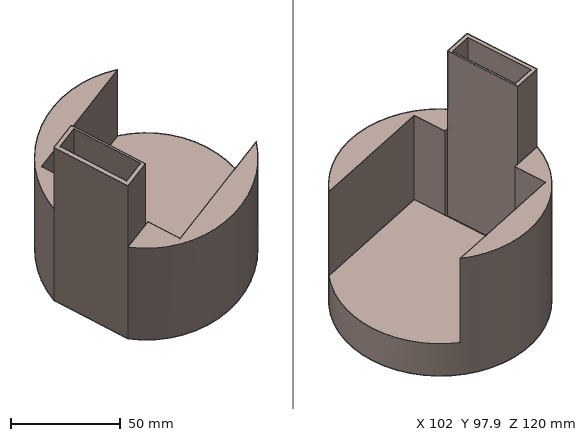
import cadquery as cq
import math

body_radius = 51.0
body_height = 72.0

pocket_width = 75.0
floor_thickness = 20.0
pocket_front_y = -30.0

tower_width = 40.1
tower_depth = 14.8
tower_height = 120.0
side_wall = 2.0
front_wall = 2.0
rear_wall = 1.0

slot_floor_height = 18.0

flat_y = -math.sqrt(body_radius**2 - (tower_width / 2) ** 2)
tower_rear_y = flat_y + tower_depth


def box_between(width, y_front, y_rear, z_bottom, z_top):
    """Box centred on X = 0 that fills the given Y and Z ranges."""
    return cq.Workplane("XY").box(
        width, y_rear - y_front, z_top - z_bottom, centered=(True, False, False)
    ).translate((0, y_front, z_bottom))


def make_body():
    """Cylinder cut flat at the front and opened by the pocket."""
    cylinder = cq.Workplane("XY").circle(body_radius).extrude(body_height)
    in_front_of_flat = box_between(2 * body_radius, -body_radius, flat_y, 0, body_height)
    pocket = box_between(pocket_width, pocket_front_y, body_radius, floor_thickness, body_height)
    return cylinder.cut(in_front_of_flat).cut(pocket)


def make_slot():
    """Gap behind the tower, open to the pocket and slightly deeper than it."""
    return box_between(tower_width, tower_rear_y, pocket_front_y, slot_floor_height, body_height)


def make_tower():
    """Solid block of the tower, flush with the front flat."""
    return box_between(tower_width, flat_y, tower_rear_y, 0, tower_height)


def make_duct():
    """Vertical opening that runs through the tower and the body."""
    duct_width = tower_width - 2 * side_wall
    duct_front_y = flat_y + front_wall
    duct_rear_y = tower_rear_y - rear_wall
    return box_between(duct_width, duct_front_y, duct_rear_y, 0, tower_height)


result = make_body().cut(make_slot()).union(make_tower()).cut(make_duct())